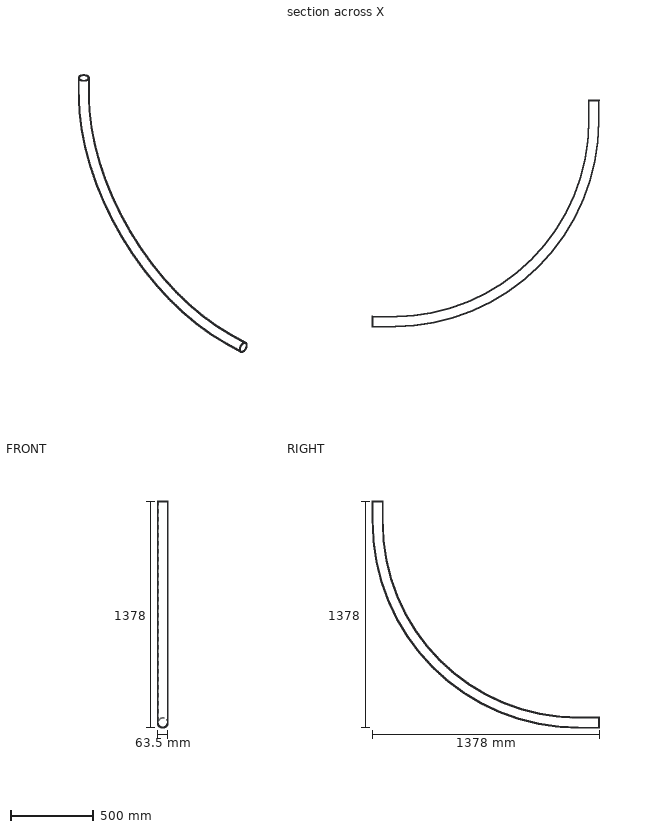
import cadquery as cq

outer_diameter = 63.5
inner_diameter = 57.4
bend_radius = 1219.2
bend_angle = 90.0
straight_length = 127.0


def tube_section(plane):
    """Annular cross-section of the tube, sketched on the given plane."""
    return cq.Workplane(plane).circle(outer_diameter / 2).circle(inner_diameter / 2)


upper_joint = cq.Plane(origin=(0, -bend_radius, 0), xDir=(1, 0, 0), normal=(0, 0, 1))
lower_joint = cq.Plane(origin=(0, 0, -bend_radius), xDir=(1, 0, 0), normal=(0, 1, 0))

upper_leg = tube_section(upper_joint).extrude(straight_length)
lower_leg = tube_section(lower_joint).extrude(straight_length)

bend_axis_start = (0, bend_radius)
bend_axis_end = (1, bend_radius)
bend = tube_section(upper_joint).revolve(bend_angle, bend_axis_start, bend_axis_end)

result = upper_leg.union(bend).union(lower_leg)